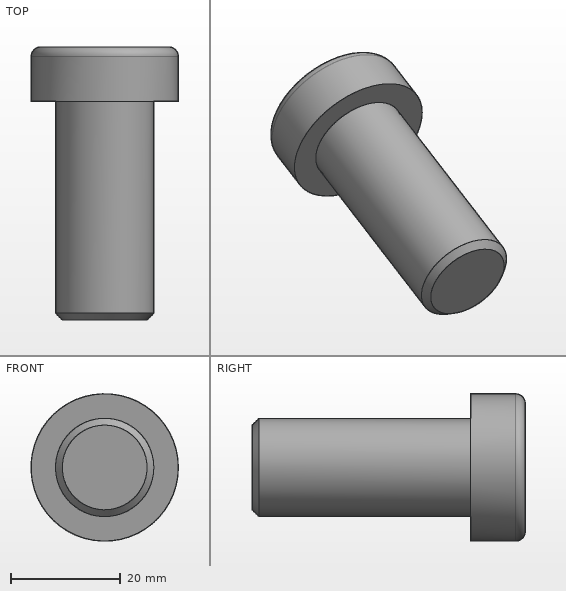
import cadquery as cq

total_length = 50.0
head_diameter = 27.0
head_length = 10.0
head_edge_radius = 1.8
shank_diameter = 18.0
shank_tip_chamfer = 1.25

shank_length = total_length - head_length


def make_head():
    """Round head on +Y, with its outer end edge rounded."""
    head = cq.Workplane("XZ").circle(head_diameter / 2).extrude(-head_length)
    return head.faces(">Y").edges().fillet(head_edge_radius)


def make_shank():
    """Plain round shank along -Y, with a chamfered tip."""
    shank = cq.Workplane("XZ").circle(shank_diameter / 2).extrude(shank_length)
    return shank.faces("<Y").edges().chamfer(shank_tip_chamfer)


result = make_head().union(make_shank())